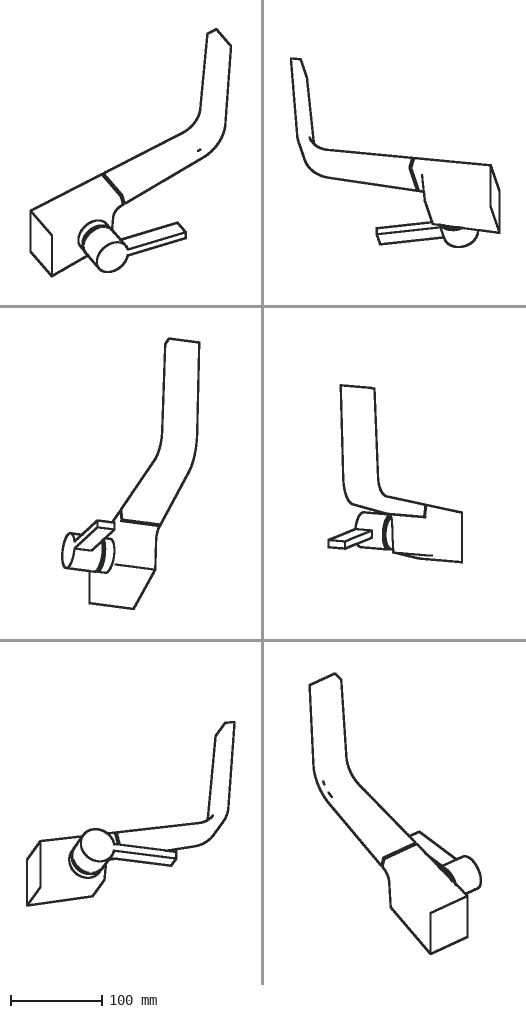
import cadquery as cq
import math


front_width = 52.2
tip_width = 36.0
tip_y = 225.2
tip_z = 233.3
edge_radius = 0.7

slope = 15.0
front_height = 55.7
base_length = 74.4
wall_lean = 5.0
wall_corner_radius = 13.5

joint_y = 86.2
groove_width = 2.0
groove_depth = 0.7

bend_y = 216.0
bend_z = 101.2
underside_slope = 15.8
inner_lean = 5.0
tip_thickness = 11.5
outer_bend_radius = 39.6
inner_bend_radius = 29.1

axis_y = 52.0
axis_z = 37.8
collar_radius = 18.9
collar_end_x = 34.3
spindle_radius = 18.2
knob_start_x = 37.0
knob_end_x = 70.5
knob_radius = 19.3
lever_width = 20.0
lever_thickness = 8.2
lever_end_y = 142.2


def shift(point, angle, distance):
    """The (y, z) point at a distance from another, along an angle measured from +Y."""
    y, z = point
    return (y + distance * math.cos(math.radians(angle)), z + distance * math.sin(math.radians(angle)))


def meet(point_a, angle_a, point_b, angle_b):
    """The (y, z) point where two lines cross, each given by a point and its angle from +Y."""
    dy = point_b[0] - point_a[0]
    dz = point_b[1] - point_a[1]
    b = math.radians(angle_b)
    between = math.radians(angle_b - angle_a)
    return shift(point_a, angle_a, (dy * math.sin(b) - dz * math.cos(b)) / math.sin(between))


def slab(points):
    """A closed (y, z) outline extruded to both sides of X = 0, wider than the tapered parts."""
    return cq.Workplane("YZ").polyline(points).close().extrude(front_width, both=True)


def taper(inset=0.0):
    """The space between the two side planes, each moved inwards by the inset."""
    front = front_width / 2 - inset
    tip = tip_width / 2 - inset
    outline = [(-front, 0), (front, 0), (tip, tip_y), (-tip, tip_y)]
    return cq.Workplane("XY").polyline(outline).close().extrude(tip_z)


def edge_at(corner):
    """Selects the X-parallel edge that lies at a (y, z) corner."""
    return cq.selectors.NearestToPointSelector((0, *corner))


def round_corner(solid, corner, radius):
    """Round the X-parallel edge that lies at a (y, z) corner."""
    return solid.edges(edge_at(corner)).fillet(radius)


def cylinder(radius, start_x, end_x):
    """A cylinder on the common axis of the collar and the handle."""
    base = cq.Workplane("YZ", origin=(start_x, axis_y, axis_z))
    return base.circle(radius).extrude(end_x - start_x)


across_joint = slope + 90
top_front = (0.0, front_height)
bend_corner = (bend_y, bend_z)
joint_top = (joint_y, front_height + joint_y * math.tan(math.radians(slope)))
joint_bottom = meet(joint_top, across_joint, bend_corner, underside_slope)
spout_top = shift(joint_top, slope, groove_width)
spout_bottom = meet(spout_top, across_joint, bend_corner, underside_slope)


def make_collar():
    """The collar with its thinner spindle, reaching from the body's side to the knob."""
    collar = cylinder(collar_radius, 0, collar_end_x)
    spindle = cylinder(spindle_radius, collar_end_x, knob_start_x)
    return collar.union(spindle).cut(taper())


def make_spigot():
    """The inset block that bridges the groove between the body and the spout."""
    block = slab([
        shift(joint_top, across_joint, -groove_depth),
        shift(spout_top, across_joint, -groove_depth),
        shift(spout_bottom, across_joint, groove_depth),
        shift(joint_bottom, across_joint, groove_depth),
    ])
    return block.intersect(taper(groove_depth))


def make_body():
    """The tapered body, with its front edges left sharp."""
    base_back = (base_length, base_length * math.tan(math.radians(slope)))
    wall_top = meet(base_back, 90 - wall_lean, bend_corner, underside_slope)
    body = slab([(0, 0), base_back, wall_top, joint_bottom, joint_top, top_front])
    body = round_corner(body, wall_top, wall_corner_radius)
    body = body.intersect(taper())
    body = body.edges("not(|X or |Z)").fillet(edge_radius)
    return body.union(make_spigot())


def make_spout():
    """The spout: a thinning blade that bends upright and ends in a sloping tip."""
    tip_back = (tip_y, tip_z)
    tip_inner = (tip_y - tip_thickness, tip_z - tip_thickness * math.tan(math.radians(slope)))
    inner_corner = meet(tip_inner, 90 - inner_lean, top_front, slope)
    spout = slab([spout_bottom, bend_corner, tip_back, tip_inner, inner_corner, spout_top])
    spout = round_corner(spout, bend_corner, outer_bend_radius)
    spout = round_corner(spout, inner_corner, inner_bend_radius)
    spout = spout.intersect(taper())
    soft_edges = cq.StringSyntaxSelector("not(|X)")
    for corner in (tip_back, tip_inner, spout_top, spout_bottom):
        soft_edges = soft_edges + edge_at(corner)
    return spout.edges(soft_edges).fillet(edge_radius)


def make_handle():
    """The knob and its flat lever, flush with the knob's outer end."""
    knob = cylinder(knob_radius, knob_start_x, knob_end_x)
    lever = cq.Workplane("XY").box(
        lever_width, lever_end_y - axis_y, lever_thickness, centered=(False, False, True)
    ).translate((knob_end_x - lever_width, axis_y, axis_z))
    return knob.union(lever)


body = make_body()
spout = make_spout()
collar = make_collar()
handle = make_handle()

result = cq.Compound.makeCompound([body.val(), spout.val(), collar.val(), handle.val()])